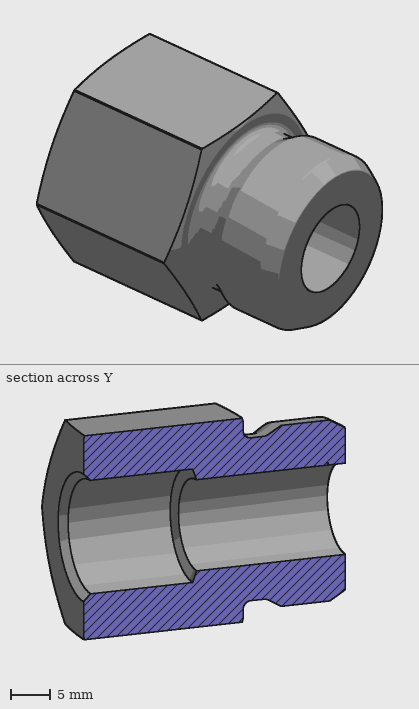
import cadquery as cq
import math

total_length = 36.0
hex_length = 22.0

hex_sides = 6
hex_across_flats = 27.0
hex_turned_diameter = 31.08
hex_face_diameter = 26.0
hex_chamfer_angle = 15.0

spigot_diameter = 24.0
spigot_edge_radius = 0.5
spigot_cone_angle = 30.0
spigot_tip_diameter = 21.5
spigot_tip_radius = 0.2

neck_diameter = 21.6
neck_length = 3.12
neck_radius = 1.0

bore_diameter = 12.0
socket_diameter = 14.95
socket_depth = 15.0
socket_mouth_diameter = 16.9
socket_mouth_angle = 45.0
drill_tip_angle = 140.0


def tan_deg(angle):
    return math.tan(math.radians(angle))


def make_hexagon():
    """Hexagonal bar with its long edges turned down and a cone at both ends."""
    across_corners = hex_across_flats / math.cos(math.pi / hex_sides)
    bar = cq.Workplane("YZ").polygon(hex_sides, across_corners).extrude(hex_length)
    face_radius = hex_face_diameter / 2
    turned_radius = hex_turned_diameter / 2
    chamfer_length = (turned_radius - face_radius) * tan_deg(hex_chamfer_angle)
    turned_blank = (
        cq.Workplane("XY")
        .moveTo(0, 0)
        .lineTo(0, face_radius)
        .lineTo(chamfer_length, turned_radius)
        .lineTo(hex_length - chamfer_length, turned_radius)
        .lineTo(hex_length, face_radius)
        .lineTo(hex_length, 0)
        .close()
        .revolve(360, axisStart=(0, 0, 0), axisEnd=(1, 0, 0))
    )
    return bar.intersect(turned_blank)


def round_edge(body, position, radius):
    """Round the circular edges of body whose centre lies at position along X."""
    margin = 0.01
    selector = cq.selectors.BoxSelector(
        (position - margin, -margin, -margin),
        (position + margin, margin, margin),
    )
    return body.edges(selector).fillet(radius)


def make_spigot():
    """Neck with a concave root, then a cylinder with a cone at each end."""
    neck_r = neck_diameter / 2
    spigot_r = spigot_diameter / 2
    tip_r = spigot_tip_diameter / 2
    slope = tan_deg(spigot_cone_angle)

    neck_end = hex_length + neck_length
    cylinder_start = neck_end + (spigot_r - neck_r) / slope
    cylinder_end = total_length - (spigot_r - tip_r) / slope

    root_offset = neck_radius * (1 - math.sqrt(0.5))
    spigot = (
        cq.Workplane("XY")
        .moveTo(hex_length, 0)
        .lineTo(hex_length, neck_r + neck_radius)
        .threePointArc(
            (hex_length + root_offset, neck_r + root_offset),
            (hex_length + neck_radius, neck_r),
        )
        .lineTo(neck_end, neck_r)
        .lineTo(cylinder_start, spigot_r)
        .lineTo(cylinder_end, spigot_r)
        .lineTo(total_length, tip_r)
        .lineTo(total_length, 0)
        .close()
        .revolve(360, axisStart=(0, 0, 0), axisEnd=(1, 0, 0))
    )
    spigot = round_edge(spigot, neck_end, neck_radius)
    spigot = round_edge(spigot, cylinder_start, spigot_edge_radius)
    spigot = round_edge(spigot, cylinder_end, spigot_edge_radius)
    return round_edge(spigot, total_length, spigot_tip_radius)


def make_bore():
    """Through bore widening to a chamfered socket with a drill-point floor."""
    bore_r = bore_diameter / 2
    socket_r = socket_diameter / 2
    mouth_r = socket_mouth_diameter / 2
    mouth_depth = (mouth_r - socket_r) / tan_deg(socket_mouth_angle)
    floor_length = (socket_r - bore_r) / tan_deg(drill_tip_angle / 2)
    return (
        cq.Workplane("XY")
        .moveTo(0, 0)
        .lineTo(0, mouth_r)
        .lineTo(mouth_depth, socket_r)
        .lineTo(socket_depth, socket_r)
        .lineTo(socket_depth + floor_length, bore_r)
        .lineTo(total_length, bore_r)
        .lineTo(total_length, 0)
        .close()
        .revolve(360, axisStart=(0, 0, 0), axisEnd=(1, 0, 0))
    )


result = make_hexagon().union(make_spigot()).cut(make_bore())